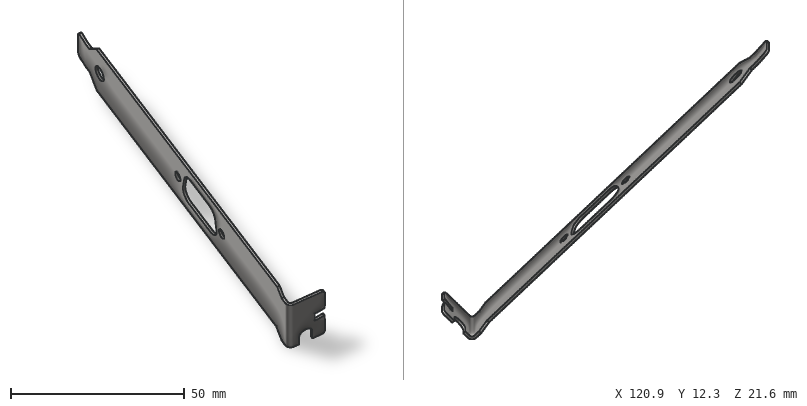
import cadquery as cq
import math

length = 120.87
depth = 12.32
sheet = 0.86

plate_height = 18.42
plate_top = plate_height / 2
plate_bottom = -plate_top

tab_height = 10.19
tab_bend_end_x = 5.1
tab_bend_radius = 3.0
tab_tilt = math.radians(4.8)
tab_corner_radius = 1.4
taper_end_x = 11.45
tab_shoulder_x = taper_end_x - (plate_height - tab_height) / 2

total_height = 21.59
flange_height = 19.05
flange_bottom = plate_top - total_height
flange_top = flange_bottom + flange_height
flange_corner_radius = 1.4
flange_inner_x = length - sheet
bend_inner_radius = 0.9
bend_outer_radius = bend_inner_radius + sheet

shoulder_end_x = 117.1
upper_shoulder_x = shoulder_end_x - (plate_top - flange_top)
lower_shoulder_x = shoulder_end_x - (plate_bottom - flange_bottom)

mount_hole_x = 13.1
mount_hole_diameter = 4.8
connector_x = 70.24
screw_spacing = 25.0
screw_hole_diameter = 3.05

opening_height = 11.2
opening_top = opening_height / 2
opening_bottom = -opening_top
opening_mid_width = 18.55
opening_side_angle = math.radians(10)
opening_corner_radius = 3.5

screw_slot_y = 5.88
screw_slot_width = 4.42
screw_slot_height = 5.4
notch_depth = 3.45
notch_width = 3.1
notch_height = 9.13
notch_z = flange_bottom + notch_height

flare_length = 2.7
flare_height = 1.95
flare_offset = 0.36


def bent_sheet():
    """Sheet profile along the part, with the tilted tab and the bent flange."""
    tab_outer_radius = tab_bend_radius + sheet
    tab_outer_x = tab_bend_end_x - tab_outer_radius * math.sin(tab_tilt)
    tab_outer_y = tab_outer_radius - tab_outer_radius * math.cos(tab_tilt)
    tab_inner_x = tab_bend_end_x - tab_bend_radius * math.sin(tab_tilt)
    tab_inner_y = tab_outer_radius - tab_bend_radius * math.cos(tab_tilt)
    tab_slope = math.tan(tab_tilt)
    diagonal = math.sqrt(0.5)
    outer_inset = bend_outer_radius * (1 - diagonal)
    inner_inset = bend_inner_radius * (1 - diagonal)
    profile = (
        cq.Workplane("XY", origin=(0, 0, flange_bottom))
        .moveTo(0, tab_outer_y + tab_outer_x * tab_slope)
        .lineTo(tab_outer_x, tab_outer_y)
        .radiusArc((tab_bend_end_x, 0), -tab_outer_radius)
        .lineTo(length - bend_outer_radius, 0)
        .threePointArc((length - outer_inset, outer_inset), (length, bend_outer_radius))
        .lineTo(length, depth)
        .lineTo(flange_inner_x, depth)
        .lineTo(flange_inner_x, sheet + bend_inner_radius)
        .threePointArc(
            (flange_inner_x - inner_inset, sheet + inner_inset),
            (flange_inner_x - bend_inner_radius, sheet),
        )
        .lineTo(tab_bend_end_x, sheet)
        .radiusArc((tab_inner_x, tab_inner_y), tab_bend_radius)
        .lineTo(0, tab_inner_y + tab_inner_x * tab_slope)
        .close()
    )
    return profile.extrude(total_height)


def plate_outline():
    """Block with the outline of the plate, tab and flange ends, through the full depth."""
    tab_half = tab_height / 2
    outline = (
        cq.Workplane("XZ")
        .polyline([
            (0, -tab_half),
            (tab_shoulder_x, -tab_half),
            (taper_end_x, plate_bottom),
            (lower_shoulder_x, plate_bottom),
            (shoulder_end_x, flange_bottom),
            (length, flange_bottom),
            (length, flange_top),
            (shoulder_end_x, flange_top),
            (upper_shoulder_x, plate_top),
            (taper_end_x, plate_top),
            (tab_shoulder_x, tab_half),
            (0, tab_half),
        ])
        .close()
        .extrude(-depth)
    )
    return outline.edges("|Y and <X").fillet(tab_corner_radius)


def plate_holes():
    """Cutters for the mounting hole and the two connector screw holes."""
    mount = cq.Workplane("XZ").center(mount_hole_x, 0).circle(mount_hole_diameter / 2)
    screws = (
        cq.Workplane("XZ")
        .center(connector_x, 0)
        .rarray(screw_spacing, 1, 2, 1)
        .circle(screw_hole_diameter / 2)
    )
    return mount.extrude(-depth / 2).union(screws.extrude(-depth / 2))


def connector_opening():
    """Cutter for the rounded D shape, wider at the bottom."""
    slope = math.tan(opening_side_angle)
    top_half = opening_mid_width / 2 - opening_top * slope
    bottom_half = opening_mid_width / 2 - opening_bottom * slope
    opening = (
        cq.Workplane("XZ")
        .center(connector_x, 0)
        .polyline([
            (-bottom_half, opening_bottom),
            (bottom_half, opening_bottom),
            (top_half, opening_top),
            (-top_half, opening_top),
        ])
        .close()
        .extrude(-depth / 2)
    )
    return opening.edges("|Y").fillet(opening_corner_radius)


def round_flange_corners(body):
    """Round the two free corners of the flange."""
    return body.edges("|X and >Y").fillet(flange_corner_radius)


def flange_cutouts():
    """Cutter for the screw slot and the edge notch, along X through the flange."""
    slot_radius = screw_slot_width / 2
    straight = screw_slot_height - slot_radius
    cut_length = length - shoulder_end_x
    start = cq.Workplane("YZ", origin=(shoulder_end_x, 0, 0))
    slot = (
        start.moveTo(screw_slot_y - slot_radius, flange_bottom)
        .lineTo(screw_slot_y + slot_radius, flange_bottom)
        .lineTo(screw_slot_y + slot_radius, flange_bottom + straight)
        .threePointArc(
            (screw_slot_y, flange_bottom + screw_slot_height),
            (screw_slot_y - slot_radius, flange_bottom + straight),
        )
        .close()
        .extrude(cut_length)
    )
    notch = start.center(depth - notch_depth / 2, notch_z).rect(notch_depth, notch_width)
    return slot.union(notch.extrude(cut_length))


def notch_corner(x, side):
    """Pyramid standing on a flange face at x, its tip at the notch corner moved along X."""
    edge_z = notch_z + side * notch_width / 2
    corner = cq.Vector(x, depth, edge_z)
    inner = cq.Vector(x, depth - flare_length, edge_z)
    outer = cq.Vector(x, depth, edge_z + side * flare_height)
    tip = cq.Vector(x - flare_offset, depth, edge_z)
    loops = [
        (corner, inner, outer),
        (tip, inner, outer),
        (corner, inner, tip),
        (corner, outer, tip),
    ]
    faces = [
        cq.Face.makeFromWires(cq.Wire.makePolygon(list(loop), close=True))
        for loop in loops
    ]
    return cq.Workplane(cq.Solid.makeSolid(cq.Shell.makeShell(faces)))


result = bent_sheet().intersect(plate_outline())
result = round_flange_corners(result)
result = result.cut(plate_holes()).cut(connector_opening()).cut(flange_cutouts())
for notch_side in (1, -1):
    result = result.cut(notch_corner(length, notch_side))
    result = result.union(notch_corner(flange_inner_x, notch_side))